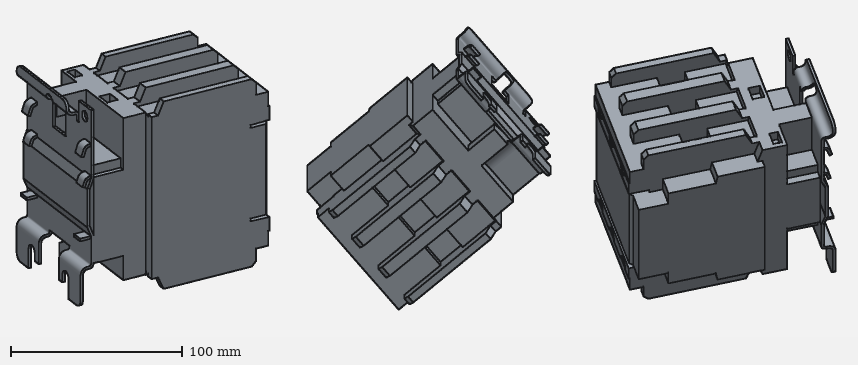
import cadquery as cq
import math


BASE_LEFT = 2.3
BASE_RIGHT = 75.0
BASE_HALF_HEIGHT = 52.7
BASE_DEPTH = 38.0
BASE_TOP_DEPTH = 34.9

BLOCK_LEFT = 9.1
BLOCK_RIGHT = 82.2
BARRIER_HALF_HEIGHT = 61.0
BARRIER_FOOT = 39.2
BARRIER_FRONT = 43.0
BARRIER_BACK = 105.2
BARRIER_CHAMFER = 2.9
SHELF_HALF_HEIGHT = 50.0
SILL_HALF_HEIGHT = 51.8
SILL_DEPTH = 0.9
SLIT_HALF_HEIGHT = 31.2
CORE_HALF_HEIGHT = 29.5
BLOCK_BACK = 114.2
CORE_BACK = 113.4
SLIT_FLOOR = 101.6
CHANNELS = ((14.0, 30.2), (37.3, 54.1), (61.1, 77.5))
TERMINAL_POCKET = (60.6, 77.5)
TERMINAL_POCKET_DEPTH = 7.6
SCREW_RECESS_DIAMETER = 9.1
SCREW_RECESS_DEPTH = 0.4
LIP_LEDGE = 40.5
LIP_BASE = 31.6

COVER_LEFT = -2.8
COVER_HALF_HEIGHT = 43.7
COVER_MID_HALF_HEIGHT = 38.2
COVER_STEP_TOP = 63.6
COVER_STEP_FOOT = 64.6
COVER_MID_BACK = 93.5
COVER_BACK = 111.5

RECESS_DEPTH = 20.0
OUTER_LEDGE = 19.2
INNER_LEDGE = 25.3
LEFT_LEDGE_EDGE = 7.0
RIGHT_LEDGE_EDGE = 71.9
POST_LEFT = 19.5
POST_RIGHT = 31.8
POST_UNDERSIDE = 39.9
LOWER_OUTER_LEDGE = -18.5
LOWER_INNER_LEDGE = -25.7
RAMP_TOP = (52.7, -30.0)
RAMP_BOTTOM = (34.5, -40.8)
LOWER_POST_RIGHT = 46.5
LOWER_POST_ROUND = 8.8
LOWER_RIGHT_ROOF = -36.8
TOP_HOLES = ((5.3, 14.0, 22.2, 27.4), (43.2, 52.5, 22.1, 29.2))
TOP_HOLE_DEPTH = 6.4

PLATE_WIDTH = BASE_RIGHT
SHEET = 1.8
PLATE_TOP = 63.1
PLATE_HEIGHT = 127.0
PLATE_BOTTOM = PLATE_TOP - PLATE_HEIGHT
PANEL_TOP = 49.3
PANEL_BOTTOM = -35.7
BULGE_OFFSET = 2.5
BULGE_FOOT = 18.8
BULGE_FLAT = 12.5
FLANGE_REACH = 8.9
JOG_RADIUS = 1.1
FLANGE_RADIUS = 4.7
UPPER_BEND = 52.3
LOWER_BEND = -36.8
CORNER_RADIUS = 4.8
UPPER_FLANGE_RIGHT = 58.4
EAR_LEFT = 60.6
EAR_HOLE = (67.7, 56.1)
EAR_HOLE_DIAMETER = 6.5
WINDOW = (30.2, 45.3, 33.4, UPPER_BEND)
ARCH_X = 38.0
ARCH_WIDTH = 7.6
ARCH_TOP = 59.3
LEFT_FOOT_RIGHT = 26.2
RIGHT_FOOT_LEFT = 49.7
SHORT_LEG_END = -56.1
FOOT_SLOT_WIDTH = 7.1
FOOT_SLOT_TOP = -47.4
LEFT_SLOT_X = 17.7
RIGHT_SLOT_X = PLATE_WIDTH - LEFT_SLOT_X

TAB_LEFTS = (4.8, 67.5)
TAB_WIDTH = 7.2
HOOK_RUN = 2.2
HOOK_RADIUS = 4.1
LIP_ANGLE = 71.0
HOOKS = ((41.5, 15.0, 4.6), (20.6, 20.0, 3.3))
STOP_TOP = -18.8


def box(x0, x1, y0, y1, z0, z1):
    return cq.Workplane("XY").box(x1 - x0, y1 - y0, z1 - z0, False).translate((x0, y0, z0))


def side_prism(points, x0, x1):
    """Extrude a (Y, Z) outline from x0 to x1."""
    return cq.Workplane("YZ", origin=(x0, 0, 0)).polyline(points).close().extrude(x1 - x0)


def front_prism(points, y0, y1):
    """Extrude an (X, Z) outline from y0 to y1."""
    return cq.Workplane("XZ", origin=(0, y0, 0)).polyline(points).close().extrude(y0 - y1)


def mirrored_outline(upper_half):
    """Complete a (Y, Z) half outline with its mirror image below Z = 0."""
    return upper_half + [(y, -z) for y, z in reversed(upper_half)]


def make_base():
    outline = [(0, BASE_HALF_HEIGHT), (BASE_TOP_DEPTH, BASE_HALF_HEIGHT), (BASE_DEPTH, COVER_HALF_HEIGHT)]
    return side_prism(mirrored_outline(outline), BASE_LEFT, BASE_RIGHT)


def make_terminal_block():
    outline = [
        (BASE_TOP_DEPTH, BASE_HALF_HEIGHT),
        (BARRIER_FOOT, BASE_HALF_HEIGHT),
        (BARRIER_FRONT, BARRIER_HALF_HEIGHT),
        (BARRIER_BACK - BARRIER_CHAMFER, BARRIER_HALF_HEIGHT),
        (BARRIER_BACK, BARRIER_HALF_HEIGHT - BARRIER_CHAMFER),
        (BARRIER_BACK, SHELF_HALF_HEIGHT),
        (CORE_BACK, SHELF_HALF_HEIGHT),
        (CORE_BACK, LIP_LEDGE),
        (BLOCK_BACK, LIP_LEDGE),
        (BLOCK_BACK, LIP_BASE),
        (SLIT_FLOOR, SLIT_HALF_HEIGHT),
        (SLIT_FLOOR, CORE_HALF_HEIGHT),
        (CORE_BACK, CORE_HALF_HEIGHT),
    ]
    block = side_prism(mirrored_outline(outline), BLOCK_LEFT, BLOCK_RIGHT)

    pocket_front, pocket_back = TERMINAL_POCKET
    pocket_floor = SHELF_HALF_HEIGHT - TERMINAL_POCKET_DEPTH
    channel_outline = [
        (BASE_TOP_DEPTH, BARRIER_HALF_HEIGHT),
        (BASE_TOP_DEPTH, SILL_HALF_HEIGHT),
        (BASE_TOP_DEPTH + SILL_DEPTH, SHELF_HALF_HEIGHT),
        (BARRIER_BACK, SHELF_HALF_HEIGHT),
        (BARRIER_BACK, BARRIER_HALF_HEIGHT),
    ]
    for x0, x1 in CHANNELS:
        channel = side_prism(channel_outline, x0, x1)
        pocket = box(x0, x1, pocket_front, pocket_back, pocket_floor, SHELF_HALF_HEIGHT)
        recess = cq.Workplane("XZ", origin=((x0 + x1) / 2, BLOCK_BACK, LIP_LEDGE))
        recess = recess.circle(SCREW_RECESS_DIAMETER / 2).extrude(SCREW_RECESS_DEPTH)
        cutter = channel.union(pocket).union(recess)
        block = block.cut(cutter).cut(cutter.mirror("XY"))

    bevel = CORE_BACK - COVER_BACK
    for x, inward in ((BLOCK_LEFT, bevel), (BLOCK_RIGHT, -bevel)):
        corner = [(x, COVER_BACK), (x, CORE_BACK), (x + inward, CORE_BACK)]
        wedge = cq.Workplane("XY", origin=(0, 0, -CORE_HALF_HEIGHT)).polyline(corner).close()
        block = block.cut(wedge.extrude(2 * CORE_HALF_HEIGHT))
    return block


def make_cover():
    outline = [
        (BASE_TOP_DEPTH, COVER_HALF_HEIGHT),
        (COVER_STEP_TOP, COVER_HALF_HEIGHT),
        (COVER_STEP_FOOT, COVER_MID_HALF_HEIGHT),
        (COVER_MID_BACK, COVER_MID_HALF_HEIGHT),
        (COVER_MID_BACK, CORE_HALF_HEIGHT),
        (COVER_BACK, CORE_HALF_HEIGHT),
    ]
    return side_prism(mirrored_outline(outline), COVER_LEFT, BLOCK_LEFT)


def make_upper_recesses():
    top = BASE_HALF_HEIGHT
    left = [
        (BASE_LEFT, top),
        (BASE_LEFT, OUTER_LEDGE),
        (LEFT_LEDGE_EDGE, OUTER_LEDGE),
        (LEFT_LEDGE_EDGE, INNER_LEDGE),
        (POST_LEFT, INNER_LEDGE),
        (POST_LEFT, top),
    ]
    undercut_left = (POST_LEFT + POST_RIGHT) / 2
    right = [
        (BASE_RIGHT, top),
        (BASE_RIGHT, OUTER_LEDGE),
        (RIGHT_LEDGE_EDGE, OUTER_LEDGE),
        (RIGHT_LEDGE_EDGE, INNER_LEDGE),
        (undercut_left, INNER_LEDGE),
        (undercut_left, POST_UNDERSIDE),
        (POST_RIGHT, POST_UNDERSIDE),
        (POST_RIGHT, top),
    ]
    recesses = front_prism(left, 0, RECESS_DEPTH).union(front_prism(right, 0, RECESS_DEPTH))
    for x0, x1, y0, y1 in TOP_HOLES:
        recesses = recesses.union(box(x0, x1, y0, y1, top - TOP_HOLE_DEPTH, top))
    return recesses


def make_lower_recesses():
    bottom = -BASE_HALF_HEIGHT
    left = [
        (BASE_LEFT, bottom),
        (BASE_LEFT, LOWER_OUTER_LEDGE),
        (LEFT_LEDGE_EDGE, LOWER_OUTER_LEDGE),
        (LEFT_LEDGE_EDGE, LOWER_INNER_LEDGE),
        (RAMP_TOP[0], LOWER_INNER_LEDGE),
        RAMP_TOP,
        RAMP_BOTTOM,
        (RAMP_BOTTOM[0], bottom),
    ]
    right = box(LOWER_POST_RIGHT, BASE_RIGHT, 0, RECESS_DEPTH, bottom, LOWER_RIGHT_ROOF)
    right = right.edges("|Y and <X and >Z").fillet(LOWER_POST_ROUND)
    return front_prism(left, 0, RECESS_DEPTH).union(right)


def make_panel():
    outer = -SHEET - BULGE_OFFSET
    outline = [
        (0, PANEL_TOP),
        (-SHEET, PANEL_TOP),
        (-SHEET, BULGE_FOOT),
        (outer, BULGE_FLAT),
        (outer, -BULGE_FLAT),
        (-SHEET, -BULGE_FOOT),
        (-SHEET, PANEL_BOTTOM),
        (0, PANEL_BOTTOM),
    ]
    slope = math.atan2(BULGE_OFFSET, BULGE_FOOT - BULGE_FLAT)
    shift = SHEET * math.tan(slope / 2)
    hollow = [
        (0, BULGE_FOOT - shift),
        (-BULGE_OFFSET, BULGE_FLAT - shift),
        (-BULGE_OFFSET, shift - BULGE_FLAT),
        (0, shift - BULGE_FOOT),
    ]
    return side_prism(outline, 0, PLATE_WIDTH).cut(side_prism(hollow, 0, PLATE_WIDTH))


def make_flange(x0, x1, root, bend, end):
    """Strip leaving the panel at Z = root, jogged forward at bend and running to end."""
    way = math.copysign(1, end)
    outer_jog = JOG_RADIUS + SHEET
    inner_radius = FLANGE_RADIUS - SHEET
    diagonal = math.sqrt(0.5)
    front = -FLANGE_REACH

    def at(y, rise):
        return (y, bend + way * rise)

    def arc_middle(center_y, center_rise, radius, y_side, rise_side):
        return at(center_y + y_side * radius * diagonal, center_rise + rise_side * radius * diagonal)

    flange_y = front + FLANGE_RADIUS
    flange_rise = JOG_RADIUS + FLANGE_RADIUS
    return (
        cq.Workplane("YZ", origin=(x0, 0, 0))
        .moveTo(0, root)
        .lineTo(-SHEET, root)
        .lineTo(-SHEET, bend)
        .threePointArc(arc_middle(-outer_jog, 0, JOG_RADIUS, 1, 1), at(-outer_jog, JOG_RADIUS))
        .lineTo(*at(flange_y, JOG_RADIUS))
        .threePointArc(arc_middle(flange_y, flange_rise, FLANGE_RADIUS, -1, -1), at(front, flange_rise))
        .lineTo(front, end)
        .lineTo(front + SHEET, end)
        .lineTo(*at(front + SHEET, flange_rise))
        .threePointArc(arc_middle(flange_y, flange_rise, inner_radius, -1, -1), at(flange_y, outer_jog))
        .lineTo(*at(-outer_jog, outer_jog))
        .threePointArc(arc_middle(-outer_jog, 0, outer_jog, 1, 1), at(0, 0))
        .close()
        .extrude(x1 - x0)
    )


def make_arched_slot(x, width, top, bottom):
    """Cutter through the sheet: straight sides closed by a half round at the top."""
    radius = width / 2
    return (
        cq.Workplane("XZ", origin=(x, 0, 0))
        .moveTo(-radius, bottom)
        .lineTo(-radius, top - radius)
        .threePointArc((0, top), (radius, top - radius))
        .lineTo(radius, bottom)
        .close()
        .extrude(FLANGE_REACH)
    )


def make_foot(x0, x1, slot_x, outer_corner):
    """Slotted foot with a long rounded outer leg and a short inner leg."""
    foot = make_flange(x0, x1, PANEL_BOTTOM, LOWER_BEND, PLATE_BOTTOM)
    foot = foot.edges("|Y and <Z").edges(outer_corner).fillet(CORNER_RADIUS)
    foot = foot.cut(make_arched_slot(slot_x, FOOT_SLOT_WIDTH, FOOT_SLOT_TOP, PLATE_BOTTOM))
    short_leg = (slot_x, x1) if outer_corner == "<X" else (x0, slot_x)
    return foot.cut(box(*short_leg, -FLANGE_REACH, 0, PLATE_BOTTOM, SHORT_LEG_END))


def make_hook(x, top, droop, lip):
    """Tab with a short run off the plate, a bend and a straight lip pointing down."""
    run_angle = math.radians(droop)
    lip_angle = math.radians(LIP_ANGLE)

    def along(point, angle, distance):
        y, z = point
        return (y - distance * math.cos(angle), z - distance * math.sin(angle))

    def inward(point, angle, distance):
        y, z = point
        return (y + distance * math.sin(angle), z - distance * math.cos(angle))

    root = along((-SHEET, top), run_angle, -SHEET / 2)
    bend_start = along((-SHEET, top), run_angle, HOOK_RUN)
    center = inward(bend_start, run_angle, HOOK_RADIUS)
    inner_radius = HOOK_RADIUS - SHEET

    def on_bend(radius, angle):
        return inward(center, angle, -radius)

    middle = (run_angle + lip_angle) / 2
    return (
        cq.Workplane("YZ", origin=(x, 0, 0))
        .moveTo(*root)
        .lineTo(*bend_start)
        .threePointArc(on_bend(HOOK_RADIUS, middle), on_bend(HOOK_RADIUS, lip_angle))
        .lineTo(*along(on_bend(HOOK_RADIUS, lip_angle), lip_angle, lip))
        .lineTo(*along(on_bend(inner_radius, lip_angle), lip_angle, lip))
        .lineTo(*on_bend(inner_radius, lip_angle))
        .threePointArc(on_bend(inner_radius, middle), on_bend(inner_radius, run_angle))
        .lineTo(*inward(root, run_angle, SHEET))
        .close()
        .extrude(TAB_WIDTH)
    )


def make_plate():
    flange = make_flange(0, UPPER_FLANGE_RIGHT, PANEL_TOP, UPPER_BEND, PLATE_TOP)
    flange = flange.edges("|Y and >Z").fillet(CORNER_RADIUS)

    ear = box(EAR_LEFT, PLATE_WIDTH, -SHEET, 0, PANEL_TOP, PLATE_TOP)
    ear_hole = cq.Workplane("XZ").center(*EAR_HOLE).circle(EAR_HOLE_DIAMETER / 2).extrude(SHEET)

    plate = make_panel().union(flange).union(ear.cut(ear_hole))
    plate = plate.union(make_foot(0, LEFT_FOOT_RIGHT, LEFT_SLOT_X, "<X"))
    plate = plate.union(make_foot(RIGHT_FOOT_LEFT, PLATE_WIDTH, RIGHT_SLOT_X, ">X"))

    window_left, window_right, window_bottom, window_top = WINDOW
    plate = plate.cut(box(window_left, window_right, -FLANGE_REACH, 0, window_bottom, window_top))
    plate = plate.cut(make_arched_slot(ARCH_X, ARCH_WIDTH, ARCH_TOP, window_bottom))

    for x in TAB_LEFTS:
        for top, droop, lip in HOOKS:
            plate = plate.union(make_hook(x, top, droop, lip))
        plate = plate.union(box(x, x + TAB_WIDTH, -FLANGE_REACH, -SHEET / 2, STOP_TOP - SHEET, STOP_TOP))
    return plate


base = make_base().union(make_terminal_block()).union(make_cover())
base = base.cut(make_upper_recesses()).cut(make_lower_recesses())
result = base.union(make_plate())